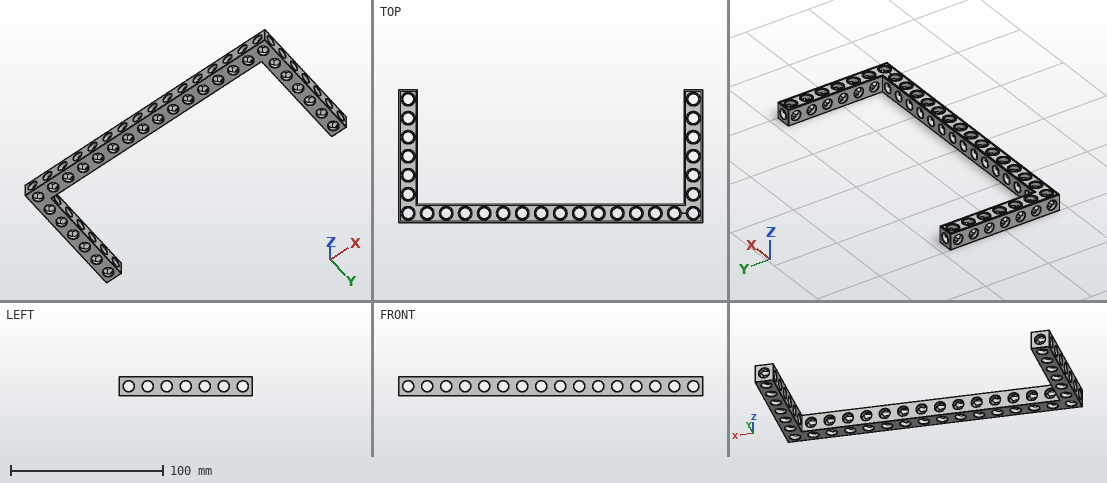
import cadquery as cq

length_x = 200.0
holes_along_base = 16
holes_along_arm = 7
pitch = length_x / holes_along_base
width_y = holes_along_arm * pitch
hole_diameter = 7.0
edge_chamfer = 0.3

rim_width = 0.8
recess_depth = 0.2
bridge_width = 0.2

half_x = length_x / 2
half_y = width_y / 2
half_z = pitch / 2
hole_radius = hole_diameter / 2
ring_radius = hole_radius + edge_chamfer + rim_width

column_xs = [-half_x + (i + 0.5) * pitch for i in range(holes_along_base)]
row_ys = [-half_y + (i + 0.5) * pitch for i in range(holes_along_arm)]
end_columns = (column_xs[0], column_xs[-1])
base_y = row_ys[0]
arm_ys = row_ys[1:]
vertical_places = [(x, base_y) for x in column_xs] + [(x, y) for x in end_columns for y in arm_ys]


def u_profile(inset, base_z):
    """Closed U outline with all of its edges moved into the bar by an inset."""
    outer_x = half_x - inset
    inner_x = half_x - pitch + inset
    back_y = -half_y + inset
    inner_y = -half_y + pitch - inset
    tip_y = half_y - inset
    corners = [
        (-outer_x, back_y),
        (outer_x, back_y),
        (outer_x, tip_y),
        (inner_x, tip_y),
        (inner_x, inner_y),
        (-inner_x, inner_y),
        (-inner_x, tip_y),
        (-outer_x, tip_y),
    ]
    return cq.Workplane("XY", origin=(0, 0, base_z)).polyline(corners).close()


def frame():
    """Square bar bent into a U, chamfered on all edges but the two inside corners."""
    block = u_profile(0, -half_z).extrude(pitch)
    return block.edges("(#Z) or (|Z and (>Y or <Y))").chamfer(edge_chamfer)


def top_recess():
    """Recess volume that spares the rim, a ring around each hole and the bridge."""
    floor_z = half_z - recess_depth
    pocket = u_profile(edge_chamfer + rim_width, floor_z).extrude(recess_depth)
    rings = (
        cq.Workplane("XY", origin=(0, 0, floor_z))
        .pushPoints(vertical_places)
        .circle(ring_radius)
        .extrude(recess_depth)
    )
    bridge_x = (column_xs[-2] + column_xs[-1]) / 2
    bridge = (
        cq.Workplane("XY", origin=(bridge_x, base_y, floor_z))
        .rect(pitch, bridge_width)
        .extrude(recess_depth)
    )
    return pocket.cut(rings).cut(bridge)


def bore(start, direction, length):
    """Straight hole of a given length, flared by the chamfer at both mouths."""
    start = cq.Vector(*start)
    direction = cq.Vector(*direction)
    end = start + direction * length
    mouth_radius = hole_radius + edge_chamfer
    shaft = cq.Solid.makeCylinder(hole_radius, length, start, direction)
    near = cq.Solid.makeCone(mouth_radius, hole_radius, edge_chamfer, start, direction)
    far = cq.Solid.makeCone(mouth_radius, hole_radius, edge_chamfer, end, direction * -1)
    return shaft.fuse(near, far)


def vertical_bores():
    """Holes along Z through the base and both arms."""
    return [bore((x, y, -half_z), (0, 0, 1), pitch) for x, y in vertical_places]


def bores_along_y():
    """Holes across the base, the two end ones running the full length of the arms."""
    across = [bore((x, -half_y, 0), (0, 1, 0), pitch) for x in column_xs[1:-1]]
    lengthwise = [bore((x, -half_y, 0), (0, 1, 0), width_y) for x in end_columns]
    return across + lengthwise


def bores_along_x():
    """Holes across both arms, and one running the full length of the base."""
    arm_starts = (-half_x, half_x - pitch)
    across = [bore((x, y, 0), (1, 0, 0), pitch) for x in arm_starts for y in arm_ys]
    lengthwise = bore((-half_x, base_y, 0), (1, 0, 0), length_x)
    return across + [lengthwise]


def drill(body, bores):
    """Cut one set of parallel, separate bores out of the body."""
    return body.cut(cq.Workplane(cq.Compound.makeCompound(bores)))


part = frame().cut(top_recess())
for bores in (vertical_bores(), bores_along_y(), bores_along_x()):
    part = drill(part, bores)

result = part.solids()